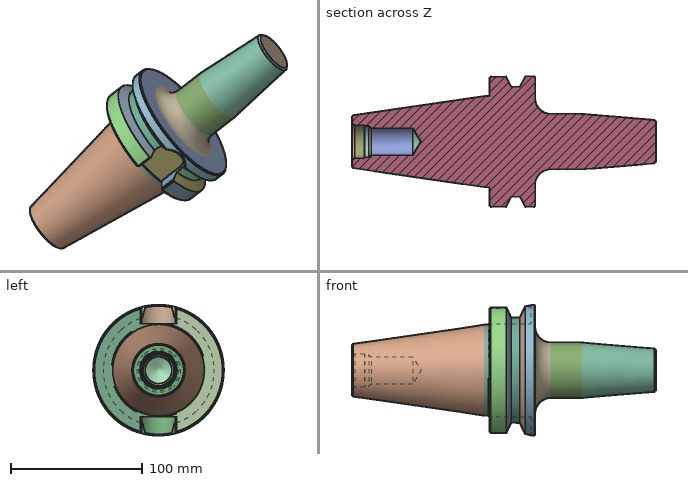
import cadquery as cq
import math

TOTAL_LENGTH = 231.8
TAPER_END_X = 101.3
FLANGE_START_X = 104.8
COLLAR_END_X = 117.5
GROOVE_FLOOR_START_X = 121.5
GROOVE_FLOOR_END_X = 128.0
RIM_START_X = 132.1
FLANGE_END_X = 139.8
NOSE_TAPER_START_X = 174.8

GAUGE_DIAMETER = 69.8
GAUGE_RADIUS = GAUGE_DIAMETER / 2
FLANGE_DIAMETER = 100.0
FLANGE_RADIUS = FLANGE_DIAMETER / 2
GROOVE_RADIUS = 42.2
NOSE_RADIUS = 21.3
NOSE_TIP_RADIUS = 16.7

TAPER_HALF_SLOPE = 7 / 24 / 2
SMALL_END_RADIUS = GAUGE_RADIUS - TAPER_END_X * TAPER_HALF_SLOPE

SMALL_END_CHAMFER = 1.0
RIM_CHAMFER = 1.0
NOSE_TIP_CHAMFER = 1.5
TAPER_BLEND_RADIUS = 9.5
NECK_FILLET = 1.0
NOSE_FILLET = 11.5

SLOT_WIDTH = 25.7
SLOT_FLOOR_RADIUS = 35.5
SLOT_END_X = 136.3
COLLAR_AND_SLOT_CHAMFER = 1.2

TOLERANCE = 0.02

MOUTH_RADIUS = 14.1
CENTER_CONE_RADIUS = 13.7
COUNTERBORE_RADIUS = 12.5
THREAD_RADIUS = 11.8
DRILL_RADIUS = 10.2
CENTER_CONE_START_X = 0.2
COUNTERBORE_START_X = 2.0
COUNTERBORE_END_X = 9.3
THREAD_START_X = 9.7
THREAD_END_X = 12.7
DRILL_START_X = 14.5
DRILL_END_X = 46.4
DRILL_TIP_ANGLE = 118


def revolve_about_x(profile):
    """Close a half profile along the X axis and spin it into a solid."""
    return profile.close().revolve(360, (0, 0, 0), (1, 0, 0))


def make_body():
    """Taper shank, grooved flange and slim nose as one turned solid."""
    blend_angle = math.atan(TAPER_HALF_SLOPE)
    blend_length = TAPER_BLEND_RADIUS * math.tan(blend_angle / 2)
    blend_start = (
        TAPER_END_X - blend_length * math.cos(blend_angle),
        GAUGE_RADIUS - blend_length * math.sin(blend_angle),
    )
    return revolve_about_x(
        cq.Workplane("XY")
        .lineTo(0, SMALL_END_RADIUS - SMALL_END_CHAMFER)
        .lineTo(SMALL_END_CHAMFER, SMALL_END_RADIUS + SMALL_END_CHAMFER * TAPER_HALF_SLOPE)
        .lineTo(*blend_start)
        .radiusArc((TAPER_END_X + blend_length, GAUGE_RADIUS), TAPER_BLEND_RADIUS)
        .lineTo(FLANGE_START_X - NECK_FILLET, GAUGE_RADIUS)
        .radiusArc((FLANGE_START_X, GAUGE_RADIUS + NECK_FILLET), -NECK_FILLET)
        .lineTo(FLANGE_START_X, FLANGE_RADIUS)
        .lineTo(COLLAR_END_X, FLANGE_RADIUS)
        .lineTo(GROOVE_FLOOR_START_X, GROOVE_RADIUS)
        .lineTo(GROOVE_FLOOR_END_X, GROOVE_RADIUS)
        .lineTo(RIM_START_X, FLANGE_RADIUS)
        .lineTo(FLANGE_END_X - RIM_CHAMFER, FLANGE_RADIUS)
        .lineTo(FLANGE_END_X, FLANGE_RADIUS - RIM_CHAMFER)
        .lineTo(FLANGE_END_X, NOSE_RADIUS + NOSE_FILLET)
        .radiusArc((FLANGE_END_X + NOSE_FILLET, NOSE_RADIUS), -NOSE_FILLET)
        .lineTo(NOSE_TAPER_START_X, NOSE_RADIUS)
        .lineTo(TOTAL_LENGTH - NOSE_TIP_CHAMFER, NOSE_TIP_RADIUS)
        .lineTo(TOTAL_LENGTH, NOSE_TIP_RADIUS - NOSE_TIP_CHAMFER)
        .lineTo(TOTAL_LENGTH, 0)
    )


def make_drive_slot():
    """Cutter for the upper slot: open at the collar face, rounded at the rim."""
    end_radius = SLOT_WIDTH / 2
    end_center_x = SLOT_END_X - end_radius
    return (
        cq.Workplane("XY", origin=(0, 0, SLOT_FLOOR_RADIUS))
        .moveTo(TAPER_END_X, -end_radius)
        .lineTo(end_center_x, -end_radius)
        .threePointArc((SLOT_END_X, 0), (end_center_x, end_radius))
        .lineTo(TAPER_END_X, end_radius)
        .close()
        .extrude(FLANGE_RADIUS)
    )


def make_drawbar_hole():
    """Stepped blind hole with a conical drill tip."""
    tip_depth = DRILL_RADIUS / math.tan(math.radians(DRILL_TIP_ANGLE / 2))
    return revolve_about_x(
        cq.Workplane("XY")
        .lineTo(0, MOUTH_RADIUS)
        .lineTo(CENTER_CONE_START_X, CENTER_CONE_RADIUS)
        .lineTo(COUNTERBORE_START_X, COUNTERBORE_RADIUS)
        .lineTo(COUNTERBORE_END_X, COUNTERBORE_RADIUS)
        .lineTo(THREAD_START_X, THREAD_RADIUS)
        .lineTo(THREAD_END_X, THREAD_RADIUS)
        .lineTo(DRILL_START_X, DRILL_RADIUS)
        .lineTo(DRILL_END_X, DRILL_RADIUS)
        .lineTo(DRILL_END_X + tip_depth, 0)
    )


def is_sharp_outer_edge(edge):
    """True for the collar and slot-end edges that touch the outside of the flange."""
    center = edge.Center()
    touches_outside = any(
        math.hypot(point.y, point.z) > FLANGE_RADIUS - TOLERANCE
        for point in (edge.startPoint(), edge.endPoint())
    )
    on_collar = center.x < COLLAR_END_X - TOLERANCE
    on_slot_end = RIM_START_X + TOLERANCE < center.x < SLOT_END_X and abs(center.y) < SLOT_WIDTH / 2
    return touches_outside and (on_collar or on_slot_end)


body = make_body()
upper_slot = make_drive_slot()
for slot in (upper_slot, upper_slot.mirror("XY")):
    body = body.cut(slot)
body = body.edges().filter(is_sharp_outer_edge).chamfer(COLLAR_AND_SLOT_CHAMFER)
result = body.cut(make_drawbar_hole())